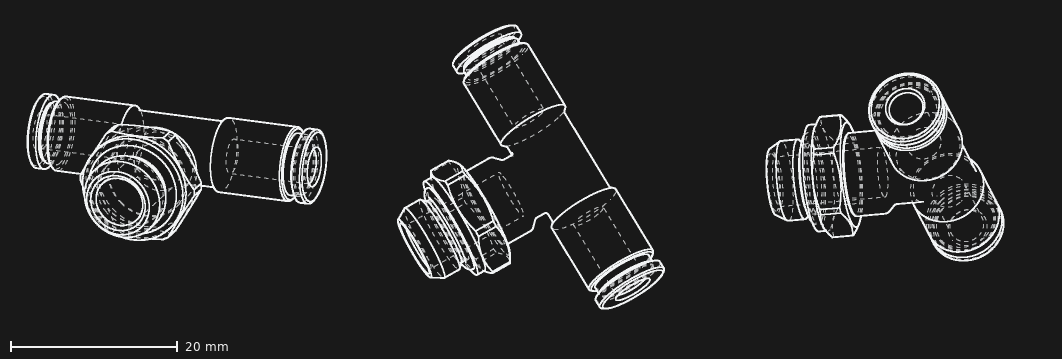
import cadquery as cq
import math


HALF_LENGTH = 17.6
NECK_RADIUS = 4.0
TEE_FILLET = 0.35

BLEND_RADIUS = 0.6
BLEND_LENGTH = BLEND_RADIUS * math.sin(math.radians(45))
BLEND_RISE = BLEND_RADIUS - BLEND_LENGTH
BLEND_MID_LENGTH = BLEND_RADIUS * math.sin(math.radians(22.5))
BLEND_MID_RISE = BLEND_RADIUS * (1 - math.cos(math.radians(22.5)))

SOCKET_RADIUS = 4.5
RELEASE_RING_LENGTH = 1.2
RING_CHAMFER_LENGTH = 0.2
RING_CHAMFER_DEPTH = 0.3
COLLAR_RADIUS = 3.75
COLLAR_START = 1.37
COLLAR_CHAMFER = 0.2
BODY_START = 2.57
BODY_END = 11.62
BODY_CHAMFER = 0.2
SOCKET_SHOULDER_LENGTH = SOCKET_RADIUS - NECK_RADIUS - BLEND_RISE + BLEND_LENGTH
NECK_HALF_LENGTH = HALF_LENGTH - BODY_END - SOCKET_SHOULDER_LENGTH
TUBE_BORE_RADIUS = 2.08
TUBE_BORE_DEPTH = 10.55
TUBE_BORE_CHAMFER_LENGTH = 0.53
TUBE_BORE_CHAMFER_DEPTH = 0.3

SLEEVE_RADIUS = 5.05
SLEEVE_SHOULDER_START = 5.25
SLEEVE_CHAMFER = 0.18
NUT_START = 10.42
NUT_END = 13.95
NUT_ACROSS_FLATS = 13.0
NUT_CORNER_RADIUS = 7.3
NUT_REAR_FACE_RADIUS = 6.3
NUT_FRONT_FACE_RADIUS = 6.45
NUT_CHAMFER_ANGLE = 30.0
WASHER_RADIUS = 6.45
WASHER_END = 15.0
SEAL_RING_RADIUS = 4.93
SEAL_SECTION_RADIUS = 0.67
RELIEF_RADIUS = 4.23
RELIEF_END = 15.95
THREAD_RADIUS = 4.82
THREAD_END = 18.63
TIP_RADIUS = 4.0
BRANCH_END = 20.0
BRANCH_BORE_RADIUS = 3.0
BRANCH_BORE_DEPTH = 13.38
BRANCH_BORE_CHAMFER = 0.5


def revolve_about_x(profile):
    return profile.close().revolve(360, (0, 0, 0), (1, 0, 0))


def revolve_about_y(profile):
    return profile.close().revolve(360, (0, 0, 0), (0, 1, 0))


def tee_core():
    """Two equal crossing cylinders with a blended intersection."""
    run = cq.Workplane("YZ").circle(NECK_RADIUS).extrude(NECK_HALF_LENGTH, both=True)
    branch = cq.Workplane("XZ").circle(NECK_RADIUS).extrude(SLEEVE_SHOULDER_START)
    return run.union(branch).edges("%ELLIPSE").fillet(TEE_FILLET)


def left_socket():
    """Release ring, collar and socket body, ending in a shoulder down to the neck."""
    end = -HALF_LENGTH
    body_end = end + BODY_END
    arc_start_radius = NECK_RADIUS + BLEND_RISE
    arc_start = body_end + SOCKET_RADIUS - arc_start_radius
    neck_start = -NECK_HALF_LENGTH
    profile = (
        cq.Workplane("XY")
        .moveTo(end, 0)
        .lineTo(end, SOCKET_RADIUS - RING_CHAMFER_DEPTH)
        .lineTo(end + RING_CHAMFER_LENGTH, SOCKET_RADIUS)
        .lineTo(end + RELEASE_RING_LENGTH, SOCKET_RADIUS)
        .lineTo(end + RELEASE_RING_LENGTH, COLLAR_RADIUS - COLLAR_CHAMFER)
        .lineTo(end + COLLAR_START, COLLAR_RADIUS - COLLAR_CHAMFER)
        .lineTo(end + COLLAR_START + COLLAR_CHAMFER, COLLAR_RADIUS)
        .lineTo(end + BODY_START, COLLAR_RADIUS)
        .lineTo(end + BODY_START, SOCKET_RADIUS - BODY_CHAMFER)
        .lineTo(end + BODY_START + BODY_CHAMFER, SOCKET_RADIUS)
        .lineTo(body_end, SOCKET_RADIUS)
        .lineTo(arc_start, arc_start_radius)
        .threePointArc(
            (neck_start - BLEND_MID_LENGTH, NECK_RADIUS + BLEND_MID_RISE),
            (neck_start, NECK_RADIUS),
        )
        .lineTo(neck_start, 0)
    )
    return revolve_about_x(profile)


def left_tube_bore():
    """Blind tube bore with a tapered mouth."""
    end = -HALF_LENGTH
    profile = (
        cq.Workplane("XY")
        .moveTo(end, 0)
        .lineTo(end, TUBE_BORE_RADIUS + TUBE_BORE_CHAMFER_DEPTH)
        .lineTo(end + TUBE_BORE_CHAMFER_LENGTH, TUBE_BORE_RADIUS)
        .lineTo(end + TUBE_BORE_DEPTH, TUBE_BORE_RADIUS)
        .lineTo(end + TUBE_BORE_DEPTH, 0)
    )
    return revolve_about_x(profile)


def sleeve():
    """Wider branch sleeve behind the nut, with a shoulder blended at both ends."""
    cone_start = SLEEVE_SHOULDER_START + BLEND_LENGTH
    cone_start_radius = NECK_RADIUS + BLEND_RISE
    cone_end_radius = SLEEVE_RADIUS - BLEND_RISE
    cone_end = cone_start + cone_end_radius - cone_start_radius
    shoulder_end = cone_end + BLEND_LENGTH
    profile = (
        cq.Workplane("XY")
        .moveTo(0, -SLEEVE_SHOULDER_START)
        .lineTo(NECK_RADIUS, -SLEEVE_SHOULDER_START)
        .threePointArc(
            (NECK_RADIUS + BLEND_MID_RISE, -SLEEVE_SHOULDER_START - BLEND_MID_LENGTH),
            (cone_start_radius, -cone_start),
        )
        .lineTo(cone_end_radius, -cone_end)
        .threePointArc(
            (SLEEVE_RADIUS - BLEND_MID_RISE, -shoulder_end + BLEND_MID_LENGTH),
            (SLEEVE_RADIUS, -shoulder_end),
        )
        .lineTo(SLEEVE_RADIUS, -NUT_START + SLEEVE_CHAMFER)
        .lineTo(SLEEVE_RADIUS - SLEEVE_CHAMFER, -NUT_START)
        .lineTo(0, -NUT_START)
    )
    return revolve_about_y(profile)


def hex_nut():
    """Hexagon with flats facing +Z and -Z, turned corners and chamfered faces."""
    slope = math.tan(math.radians(NUT_CHAMFER_ANGLE))
    rear_chamfer = (NUT_CORNER_RADIUS - NUT_REAR_FACE_RADIUS) * slope
    front_chamfer = (NUT_CORNER_RADIUS - NUT_FRONT_FACE_RADIUS) * slope
    across_corners = NUT_ACROSS_FLATS / math.cos(math.radians(30))
    hexagon = (
        cq.Workplane("XZ", origin=(0, -NUT_START, 0))
        .polygon(6, across_corners)
        .extrude(NUT_END - NUT_START)
    )
    turned = revolve_about_y(
        cq.Workplane("XY")
        .moveTo(0, -NUT_START)
        .lineTo(NUT_REAR_FACE_RADIUS, -NUT_START)
        .lineTo(NUT_CORNER_RADIUS, -NUT_START - rear_chamfer)
        .lineTo(NUT_CORNER_RADIUS, -NUT_END + front_chamfer)
        .lineTo(NUT_FRONT_FACE_RADIUS, -NUT_END)
        .lineTo(0, -NUT_END)
    )
    return hexagon.intersect(turned)


def threaded_end():
    """Washer flange, half-round seal bead, thread relief, thread and tapered tip."""
    thread_start = RELIEF_END + THREAD_RADIUS - RELIEF_RADIUS
    profile = (
        cq.Workplane("XY")
        .moveTo(0, -NUT_END)
        .lineTo(WASHER_RADIUS, -NUT_END)
        .lineTo(WASHER_RADIUS, -WASHER_END)
        .lineTo(SEAL_RING_RADIUS + SEAL_SECTION_RADIUS, -WASHER_END)
        .threePointArc(
            (SEAL_RING_RADIUS, -WASHER_END - SEAL_SECTION_RADIUS),
            (SEAL_RING_RADIUS - SEAL_SECTION_RADIUS, -WASHER_END),
        )
        .lineTo(RELIEF_RADIUS, -WASHER_END)
        .lineTo(RELIEF_RADIUS, -RELIEF_END)
        .lineTo(THREAD_RADIUS, -thread_start)
        .lineTo(THREAD_RADIUS, -THREAD_END)
        .lineTo(TIP_RADIUS, -BRANCH_END)
        .lineTo(0, -BRANCH_END)
    )
    return revolve_about_y(profile)


def branch_bore():
    """Blind bore from the threaded tip with a chamfered mouth."""
    bore_end = BRANCH_END - BRANCH_BORE_DEPTH
    profile = (
        cq.Workplane("XY")
        .moveTo(0, -BRANCH_END)
        .lineTo(BRANCH_BORE_RADIUS + BRANCH_BORE_CHAMFER, -BRANCH_END)
        .lineTo(BRANCH_BORE_RADIUS, -BRANCH_END + BRANCH_BORE_CHAMFER)
        .lineTo(BRANCH_BORE_RADIUS, -bore_end)
        .lineTo(0, -bore_end)
    )
    return revolve_about_y(profile)


result = tee_core()
for section in (sleeve(), hex_nut(), threaded_end()):
    result = result.union(section)
for socket in (left_socket(), left_socket().mirror("YZ")):
    result = result.union(socket)
for bore in (left_tube_bore(), left_tube_bore().mirror("YZ"), branch_bore()):
    result = result.cut(bore)